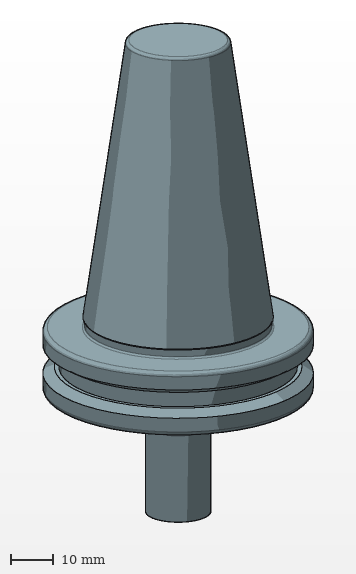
import cadquery as cq
import math

total_length = 117.3
shank_radius = 15.4 / 2
shank_fillet_radius = 5.0
cone_slope = math.radians(15)
cone_base_radius = 25.1

flange_radius = 63.5 / 2
flange_bottom = 30.0
flange_top = 45.9
flange_rim_radius = 1.0
groove_radius = 56.0 / 2
groove_ledge_width = 1.0
groove_bottom = 34.5
groove_top = 41.5
groove_side_angle = math.radians(30)

neck_radius = 44.0 / 2
neck_fillet_radius = 0.5
taper_large_radius = 44.7 / 2
taper_bottom = 48.3
taper_undercut_height = 0.4
taper_half_slope = 7 / 48
tip_fillet_radius = 0.8

groove_ledge_radius = groove_radius + groove_ledge_width
groove_side_height = (flange_radius - groove_ledge_radius) * math.tan(groove_side_angle)
taper_small_radius = taper_large_radius - taper_half_slope * (total_length - taper_bottom)
neck_top = taper_bottom - taper_undercut_height

arc_angle = math.pi / 2 - cone_slope
fillet_center_radius = shank_radius + shank_fillet_radius
cone_tip_radius = fillet_center_radius - shank_fillet_radius * math.cos(arc_angle)
cone_height = (cone_base_radius - cone_tip_radius) * math.tan(cone_slope)
cone_tip_z = flange_bottom - cone_height
fillet_bottom = cone_tip_z - shank_fillet_radius * math.sin(arc_angle)
fillet_middle = (
    fillet_center_radius - shank_fillet_radius * math.cos(arc_angle / 2),
    fillet_bottom + shank_fillet_radius * math.sin(arc_angle / 2),
)

neck_arc_offset = neck_fillet_radius * (1 - math.sqrt(0.5))
neck_fillet_middle = (neck_radius + neck_arc_offset, flange_top + neck_arc_offset)

profile = (
    cq.Workplane("XZ")
    .moveTo(0, 0)
    .lineTo(shank_radius, 0)
    .lineTo(shank_radius, fillet_bottom)
    .threePointArc(fillet_middle, (cone_tip_radius, cone_tip_z))
    .lineTo(cone_base_radius, flange_bottom)
    .lineTo(flange_radius, flange_bottom)
    .lineTo(flange_radius, groove_bottom)
    .lineTo(groove_ledge_radius, groove_bottom + groove_side_height)
    .lineTo(groove_radius, groove_bottom + groove_side_height)
    .lineTo(groove_radius, groove_top - groove_side_height)
    .lineTo(groove_ledge_radius, groove_top - groove_side_height)
    .lineTo(flange_radius, groove_top)
    .lineTo(flange_radius, flange_top)
    .lineTo(neck_radius + neck_fillet_radius, flange_top)
    .threePointArc(neck_fillet_middle, (neck_radius, flange_top + neck_fillet_radius))
    .lineTo(neck_radius, neck_top)
    .lineTo(taper_large_radius, taper_bottom)
    .lineTo(taper_small_radius, total_length)
    .lineTo(0, total_length)
    .close()
)
body = profile.revolve(360, (0, 0, 0), (0, 1, 0))


widest_edges = cq.selectors.RadiusNthSelector(-1)
body = body.edges(widest_edges).edges("<Z or >Z").fillet(flange_rim_radius)

result = body.faces(">Z").edges().fillet(tip_fillet_radius)